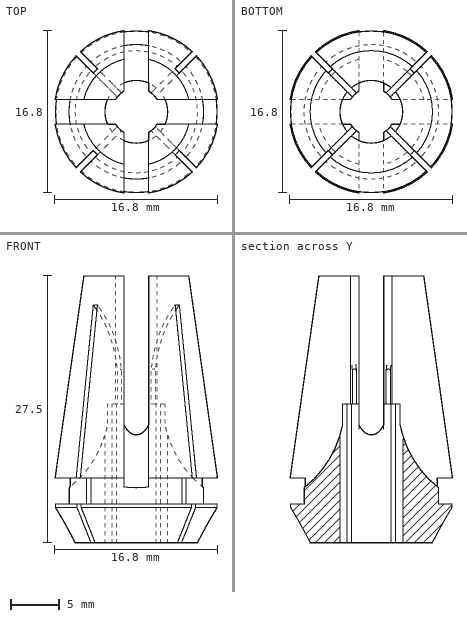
import cadquery as cq
import math

height = 27.5
flange_radius = 8.33
taper_radius = 8.47
nose_radius = 6.3
back_radius = 5.55
neck_radius = 6.93
flange_bottom = 3.63
flange_top = 4.02
taper_bottom = 6.65

nose_bore_radius = 3.22
back_bore_radius = 2.48

cuts_per_end = 4
cut_spacing = 360 / cuts_per_end
saw_radius = 11.0
slot_width = 2.53
slot_saw_offset = 13.75
slot_saw_height = 14.3
slit_width = 0.6
slit_saw_offset = 13.36
slit_saw_height = 16.35

bore_step = slot_saw_height


def make_body():
    """Turned body with its groove, flange, tapered nose and long taper."""
    return (
        cq.Workplane("XZ")
        .moveTo(0, 0)
        .lineTo(nose_radius, 0)
        .lineTo(flange_radius, flange_bottom)
        .lineTo(flange_radius, flange_top)
        .lineTo(neck_radius, flange_top)
        .lineTo(neck_radius, taper_bottom)
        .lineTo(taper_radius, taper_bottom)
        .lineTo(back_radius, height)
        .lineTo(0, height)
        .close()
        .revolve(360, (0, 0, 0), (0, 1, 0))
    )


def make_bore():
    """Wide bore at the nose, narrower bore through to the back end."""
    nose_bore = cq.Workplane("XY").circle(nose_bore_radius).extrude(bore_step)
    back_bore = cq.Workplane("XY").circle(back_bore_radius).extrude(height)
    return nose_bore.union(back_bore)


def make_saw_cut(width, saw_offset, saw_height, open_end, angle):
    """Radial cut from the end at Z = open_end, closed by a quarter arc of the saw."""
    direction = 1 if open_end < saw_height else -1
    diagonal = saw_radius * math.sqrt(0.5)
    inner_edge = saw_offset - saw_radius
    return (
        cq.Workplane("XZ")
        .moveTo(0, open_end)
        .lineTo(0, saw_height)
        .lineTo(inner_edge, saw_height)
        .threePointArc(
            (saw_offset - diagonal, saw_height + direction * diagonal),
            (saw_offset, saw_height + direction * saw_radius),
        )
        .lineTo(saw_offset, open_end)
        .close()
        .extrude(width / 2, both=True)
        .rotate((0, 0, 0), (0, 0, 1), angle)
    )


result = make_body().cut(make_bore())
for index in range(cuts_per_end):
    slot_angle = index * cut_spacing
    slit_angle = slot_angle + cut_spacing / 2
    slot = make_saw_cut(slot_width, slot_saw_offset, slot_saw_height, height, slot_angle)
    slit = make_saw_cut(slit_width, slit_saw_offset, slit_saw_height, 0, slit_angle)
    result = result.cut(slot).cut(slit)